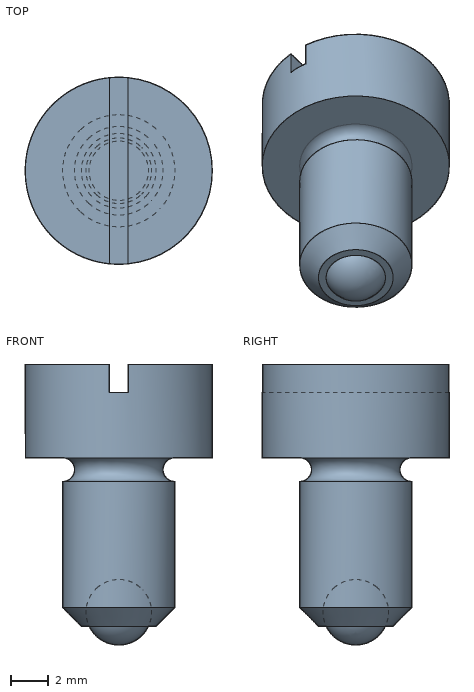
import cadquery as cq

total_length = 15.0
head_diameter = 10.0
head_height = 5.0
slot_width = 1.0
slot_depth = 1.5
shank_diameter = 6.0
groove_radius = 0.63
tip_chamfer = 1.0
ball_radius = 1.75
ball_protrusion = 1.0

head_radius = head_diameter / 2
shank_radius = shank_diameter / 2
neck_radius = shank_radius - groove_radius
head_bottom = total_length - head_height
groove_middle = head_bottom - groove_radius
groove_bottom = groove_middle - groove_radius
tip_bottom = ball_protrusion
chamfer_top = tip_bottom + tip_chamfer
tip_radius = shank_radius - tip_chamfer


def make_ball():
    """Ball seated in the tip, with its lowest point at Z = 0."""
    return cq.Workplane("XY").sphere(ball_radius).translate((0, 0, ball_radius))


def make_slot():
    """Cutter for the screwdriver slot, running along Y through the head."""
    slot = cq.Workplane("XY").box(
        slot_width, head_diameter, slot_depth, centered=(True, True, False)
    )
    return slot.translate((0, 0, total_length - slot_depth))


def make_screw(ball):
    """Revolved slotted screw with a grooved neck and a socket fitting the ball."""
    profile = (
        cq.Workplane("XZ")
        .moveTo(0, tip_bottom)
        .lineTo(tip_radius, tip_bottom)
        .lineTo(shank_radius, chamfer_top)
        .lineTo(shank_radius, groove_bottom)
        .threePointArc((neck_radius, groove_middle), (shank_radius, head_bottom))
        .lineTo(head_radius, head_bottom)
        .lineTo(head_radius, total_length)
        .lineTo(0, total_length)
        .close()
    )
    body = profile.revolve(360, (0, 0, 0), (0, 1, 0))
    return body.cut(make_slot()).cut(ball)


ball = make_ball()
screw = make_screw(ball)

result = cq.Compound.makeCompound([screw.val(), ball.val()])